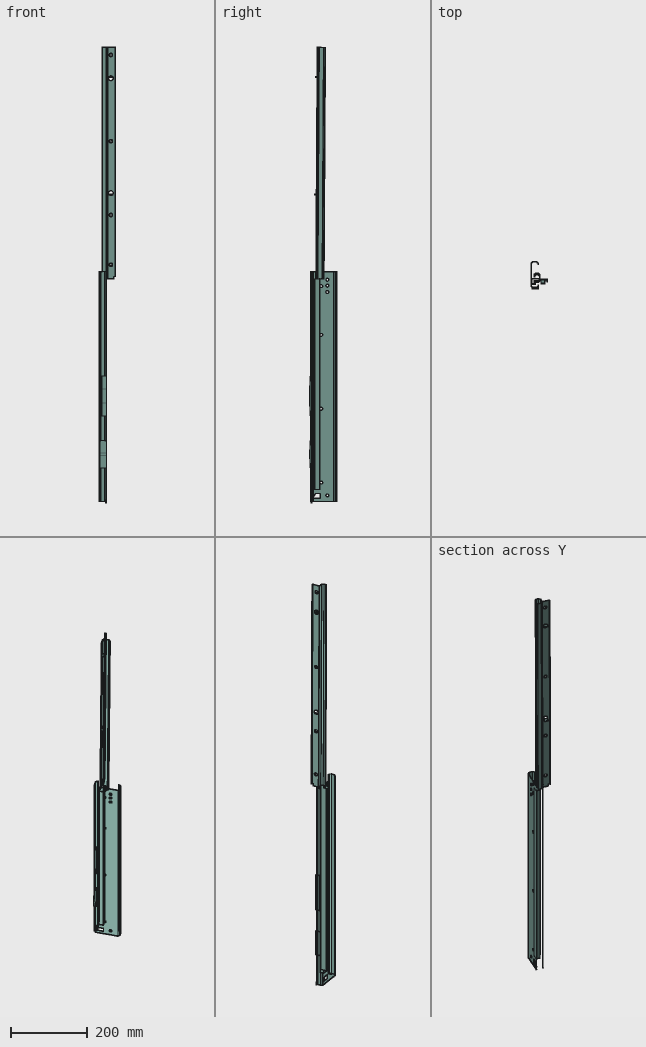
import cadquery as cq
import math


half_height = 593.0
half_width = 21.9
half_depth = 35.0
sheet = 1.8

outer_bottom = -589.0
outer_top = 10.0
bump_height = 1.8
outer_back = -half_width
outer_lip_x = -1.8
outer_rear_y = half_depth
outer_front_y = bump_height - half_depth
bevel = 5.0
lip_length = 4.0

web_hole_diameter = 7.0
main_hole_y = -5.3
side_hole_y = 11.0
web_hole_places = [(main_hole_y, z) for z in (0.0, -28.0, -155.0, -347.0, -539.0)]
web_hole_places += [(side_hole_y, z) for z in (-12.0, -27.0, -44.0, -572.0)]

window_rear_y = -8.0
window_front_top_y = -20.0
window_front_bottom_y = -27.0
window_top = -568.0
window_bottom = -580.0

pad_root_y = -31.0
pads = [
    (-13.0, -366.0, -332.0, -296.0, -262.0),
    (-19.0, -501.0, -469.0, -462.0, -430.0),
]

foot_x_size = 2.0
foot_y_size = 2.0
foot_y = -31.0
foot_overlap = 5.0

drawer_top = half_height
drawer_bottom = -10.0
drawer_middle = (drawer_top + drawer_bottom) / 2
tilt_angle = 0.35
channel_mouth_x = -13.0
channel_back_x = 2.0
channel_rear_y = 4.1
channel_hook = 7.0
channel_front_y = -18.0
channel_bevel = 5.0
hook_bevel = 4.0
plate_front_y = -13.6
plate_rear_y = plate_front_y + sheet
plate_lip_y = -17.0
corner_notch_x = 5.0
corner_notch_z = 6.0

hole_x = 10.0
screw_hole_places = (572.0, 348.0, 156.0, 27.0)
screw_hole_diameter = 2.0
countersink_diameter = 10.0
countersink_angle = 90
hook_hole_diameter = 12.0
hook_width = 11.0
hook_reach = 8.0
hook_thickness = 2.0
hooks = [(512.0, 515.0), (213.0, 210.0)]

middle_bottom = -557.0
middle_rear_y = -8.0
middle_foot_y = -24.0
middle_shelf_x = -2.0
middle_foot_x = -10.0
tongue_top = 32.0
tongue_rear_x = -11.0


def strip_outline(path, thickness):
    """Closed outline of a strip lying on the left of an open path, with mitred bends."""
    headings = [
        math.atan2(end[1] - start[1], end[0] - start[0]) for start, end in zip(path, path[1:])
    ]
    arriving = headings[:1] + headings
    leaving = headings + headings[-1:]
    inner = []
    for (x, y), before, after in zip(path, arriving, leaving):
        normal = (before + after) / 2 + math.pi / 2
        if abs(after - before) > math.pi:
            normal += math.pi
        reach = thickness / abs(math.cos((after - before) / 2))
        inner.append((x + reach * math.cos(normal), y + reach * math.sin(normal)))
    return path + inner[::-1]


def folded_strip(path, bottom, top):
    """Upright sheet-metal strip following a path in the XY plane."""
    section = cq.Workplane("XY", origin=(0, 0, bottom)).polyline(strip_outline(path, sheet)).close()
    return section.extrude(top - bottom)


def make_outer_rail():
    path = [
        (outer_lip_x, outer_rear_y - bevel - lip_length),
        (outer_lip_x, outer_rear_y - bevel),
        (outer_lip_x - bevel, outer_rear_y),
        (outer_back + bevel, outer_rear_y),
        (outer_back, outer_rear_y - bevel),
        (outer_back, outer_front_y + bevel),
        (outer_back + bevel, outer_front_y),
        (outer_lip_x - bevel, outer_front_y),
        (outer_lip_x, outer_front_y + bevel),
        (outer_lip_x, outer_front_y + bevel + lip_length),
    ]
    rail = folded_strip(path, outer_bottom, outer_top)

    for rear_x, bottom, crest_bottom, crest_top, top in pads:
        pad = (
            cq.Workplane("YZ", origin=(rear_x, 0, 0))
            .polyline([
                (pad_root_y, bottom),
                (outer_front_y, bottom),
                (-half_depth, crest_bottom),
                (-half_depth, crest_top),
                (outer_front_y, top),
                (pad_root_y, top),
            ])
            .close()
            .extrude(outer_lip_x - rear_x)
        )
        rail = rail.union(pad)

    foot_top = outer_bottom + foot_overlap
    foot = cq.Workplane("XY", origin=(outer_lip_x - foot_x_size / 2, foot_y, -half_height)).rect(
        foot_x_size, foot_y_size
    )
    rail = rail.union(foot.extrude(foot_top + half_height))

    web_face = cq.Workplane("YZ", origin=(outer_back, 0, 0))
    rail = rail.cut(web_face.pushPoints(web_hole_places).circle(web_hole_diameter / 2).extrude(sheet))
    window = web_face.polyline([
        (window_rear_y, window_bottom),
        (window_rear_y, window_top),
        (window_front_top_y, window_top),
        (window_front_bottom_y, window_bottom),
    ]).close()
    return rail.cut(window.extrude(sheet))


def make_middle_rail():
    web_inside = outer_back + sheet
    path = [
        (middle_shelf_x, middle_rear_y),
        (web_inside, middle_rear_y),
        (web_inside, middle_foot_y),
        (middle_foot_x, middle_foot_y),
    ]
    rail = folded_strip(path, middle_bottom, drawer_bottom)
    tongue = folded_strip([(middle_shelf_x, middle_rear_y), (tongue_rear_x, middle_rear_y)],
                          drawer_bottom, tongue_top)
    return rail.union(tongue)


def make_drawer_rail():
    channel_path = [
        (channel_mouth_x, channel_rear_y - channel_hook),
        (channel_mouth_x, channel_rear_y - hook_bevel),
        (channel_mouth_x + hook_bevel, channel_rear_y),
        (channel_back_x - channel_bevel, channel_rear_y),
        (channel_back_x, channel_rear_y - channel_bevel),
        (channel_back_x, channel_front_y + channel_bevel),
        (channel_back_x - channel_bevel, channel_front_y),
        (channel_mouth_x, channel_front_y),
    ]
    plate_path = [
        (half_width, plate_lip_y),
        (half_width, plate_rear_y),
        (channel_back_x - sheet, plate_rear_y),
    ]
    channel = folded_strip(channel_path[::-1], drawer_bottom, drawer_top)
    plate = folded_strip(plate_path, drawer_bottom, drawer_top)
    rail = channel.union(plate)

    notch = cq.Workplane("XY", origin=(half_width - corner_notch_x, plate_lip_y, drawer_bottom)).rect(
        corner_notch_x, plate_rear_y - plate_lip_y, centered=False
    )
    rail = rail.cut(notch.extrude(corner_notch_z))

    plate_face = cq.Workplane("XZ", origin=(hole_x, plate_front_y, 0))
    rail = (
        rail.copyWorkplane(plate_face)
        .pushPoints([(0, z) for z in screw_hole_places])
        .cskHole(screw_hole_diameter, countersink_diameter, countersink_angle, depth=sheet)
    )
    hook_holes = plate_face.pushPoints([(0, z) for z, _ in hooks]).circle(hook_hole_diameter / 2)
    rail = rail.cut(hook_holes.extrude(-sheet))

    hook_base = cq.Workplane("XZ", origin=(hole_x, plate_rear_y, 0))
    hook_bars = hook_base.pushPoints([(0, z) for _, z in hooks]).rect(hook_width, hook_thickness)
    rail = rail.union(hook_bars.extrude(sheet + hook_reach))

    return rail.rotate(
        (0, plate_front_y, drawer_middle), (1, plate_front_y, drawer_middle), -tilt_angle
    )


outer_rail = make_outer_rail()
middle_rail = make_middle_rail()
drawer_rail = make_drawer_rail()
result = cq.Compound.makeCompound([outer_rail.val(), middle_rail.val(), drawer_rail.val()])